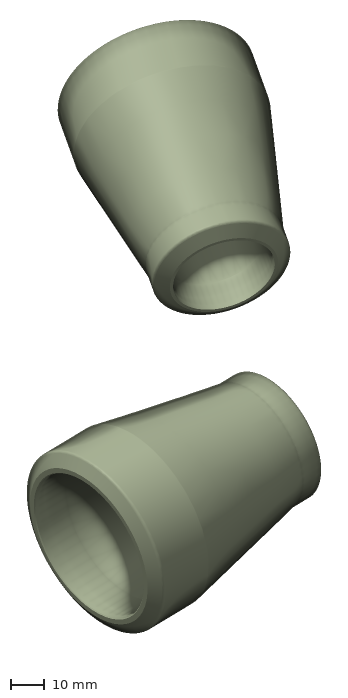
import cadquery as cq
import math

total_length = 76.0
large_outer_radius = 60.3 / 2
large_bore_radius = 47.7 / 2
small_outer_radius = 42.4 / 2
small_bore_radius = 31.2 / 2

large_collar_length = 20.3
large_bore_length = 12.3
small_collar_length = 10.0

bevel_angle = math.radians(30.0)
large_root_face = 1.9
small_root_face = 1.0
bevel_edge_radius = 1.1
mouth_chamfer = 0.3

taper_blend_radius = 1.2

selection_margin = 0.1

left_end = -total_length / 2
right_end = total_length / 2
outer_taper_start = left_end + large_collar_length
bore_taper_start = left_end + large_bore_length
taper_end = right_end - small_collar_length

large_face_radius = large_bore_radius + large_root_face
small_face_radius = small_bore_radius + small_root_face
large_bevel_x = left_end + (large_outer_radius - large_face_radius) * math.tan(bevel_angle)
small_bevel_x = right_end - (small_outer_radius - small_face_radius) * math.tan(bevel_angle)


def make_reducer():
    """Revolve the half section of the wall about the X axis."""
    wall_section = (
        cq.Workplane("XZ")
        .moveTo(left_end, large_face_radius)
        .lineTo(large_bevel_x, large_outer_radius)
        .lineTo(outer_taper_start, large_outer_radius)
        .lineTo(taper_end, small_outer_radius)
        .lineTo(small_bevel_x, small_outer_radius)
        .lineTo(right_end, small_face_radius)
        .lineTo(right_end, small_bore_radius)
        .lineTo(taper_end, small_bore_radius)
        .lineTo(bore_taper_start, large_bore_radius)
        .lineTo(left_end + mouth_chamfer, large_bore_radius)
        .lineTo(left_end, large_bore_radius + mouth_chamfer)
        .close()
    )
    return wall_section.revolve(360, (0, 0, 0), (1, 0, 0))


def round_outer_edge(body, edge_x, edge_radius, fillet_radius):
    """Round the circular edge of the outside at the given X position."""
    reach = edge_radius + selection_margin
    edge_box = cq.selectors.BoxSelector(
        (edge_x - selection_margin, -reach, -reach),
        (edge_x + selection_margin, reach, reach),
    )
    outer_edge = body.edges(edge_box).edges(cq.selectors.RadiusNthSelector(-1))
    return outer_edge.fillet(fillet_radius)


outer_edges = [
    (large_bevel_x, large_outer_radius, bevel_edge_radius),
    (outer_taper_start, large_outer_radius, taper_blend_radius),
    (taper_end, small_outer_radius, taper_blend_radius),
    (small_bevel_x, small_outer_radius, bevel_edge_radius),
]

result = make_reducer()
for edge_x, edge_radius, fillet_radius in outer_edges:
    result = round_outer_edge(result, edge_x, edge_radius, fillet_radius)